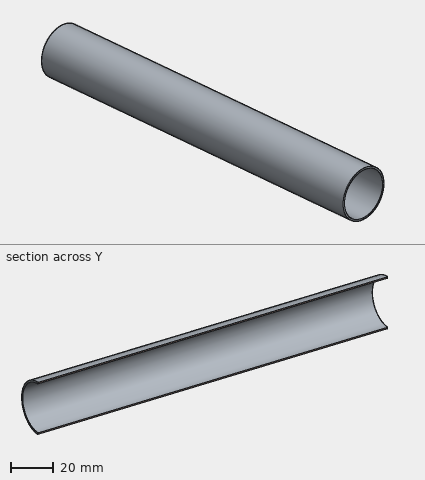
import cadquery as cq

length = 200.0
outer_diameter = 28.0
wall_thickness = 1.0

inner_diameter = outer_diameter - 2 * wall_thickness


def make_tube():
    """Ring section in the YZ plane, extruded along X and centred on the origin."""
    end_plane = cq.Workplane("YZ", origin=(-length / 2, 0, 0))
    ring = end_plane.circle(outer_diameter / 2).circle(inner_diameter / 2)
    return ring.extrude(length)


result = make_tube()